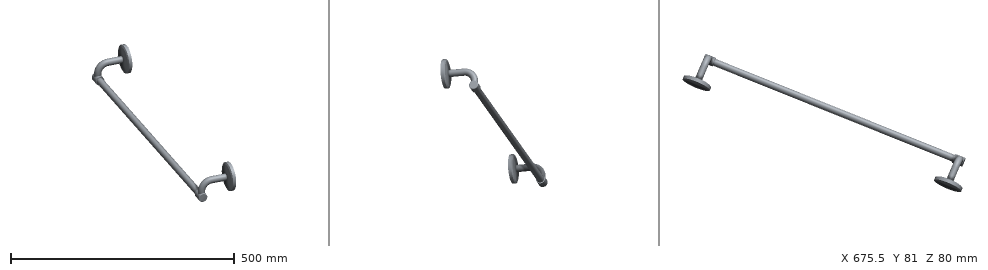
import cadquery as cq
import math

length = 675.5
depth = 81.0
height = 80.0

rosette_diameter = 66.0
rim_thickness = 7.5
face_radius = 29.0
bevel_thickness = 9.5
rosette_thickness = 12.0

arm_diameter = 16.0
bar_diameter = 16.0
collar_diameter = 21.0
collar_outer_reach = 10.0
collar_inner_reach = 14.0
collar_end_fillet = 1.5
bend_radius = 24.0

rosette_radius = rosette_diameter / 2
collar_radius = collar_diameter / 2
post_x = length / 2 - rosette_radius
bar_y = -(depth - collar_radius)
bar_z = -(height - rosette_radius - collar_radius)
bend_start_y = bar_y + bend_radius


def make_rosette():
    """Disc turned about the Y axis."""
    dome_rise = rosette_thickness - bevel_thickness
    dome_radius = (face_radius**2 + dome_rise**2) / (2 * dome_rise)
    middle_radius = face_radius / 2
    middle_drop = dome_radius - math.sqrt(dome_radius**2 - middle_radius**2)
    return (
        cq.Workplane("XY")
        .moveTo(0, 0)
        .lineTo(rosette_radius, 0)
        .lineTo(rosette_radius, -rim_thickness)
        .lineTo(face_radius, -bevel_thickness)
        .threePointArc((middle_radius, middle_drop - rosette_thickness), (0, -rosette_thickness))
        .close()
        .revolve(360, (0, 0, 0), (0, 1, 0))
    )


def make_arm():
    """Round rod leaving the wall along -Y and bending down to the bar axis."""
    bend_middle = (
        bend_start_y - bend_radius * math.sin(math.pi / 4),
        -bend_radius * (1 - math.cos(math.pi / 4)),
    )
    path = (
        cq.Workplane("YZ")
        .moveTo(0, 0)
        .lineTo(bend_start_y, 0)
        .threePointArc(bend_middle, (bar_y, -bend_radius))
        .lineTo(bar_y, bar_z)
    )
    return cq.Workplane("XZ").circle(arm_diameter / 2).sweep(path)


def make_collar():
    """Socket around the end of the bar, rounded at its closed outer end."""
    return (
        cq.Workplane("YZ", origin=(-collar_outer_reach, bar_y, bar_z))
        .circle(collar_radius)
        .extrude(collar_outer_reach + collar_inner_reach)
        .faces("<X")
        .edges().fillet(collar_end_fillet)
    )


def make_bar():
    """Bar running between the two arm axes."""
    return (
        cq.Workplane("YZ", origin=(-post_x, bar_y, bar_z))
        .circle(bar_diameter / 2)
        .extrude(2 * post_x)
    )


left_post = make_rosette().union(make_arm()).union(make_collar()).translate((-post_x, 0, 0))
right_post = left_post.mirror("YZ")
result = make_bar().union(left_post).union(right_post)